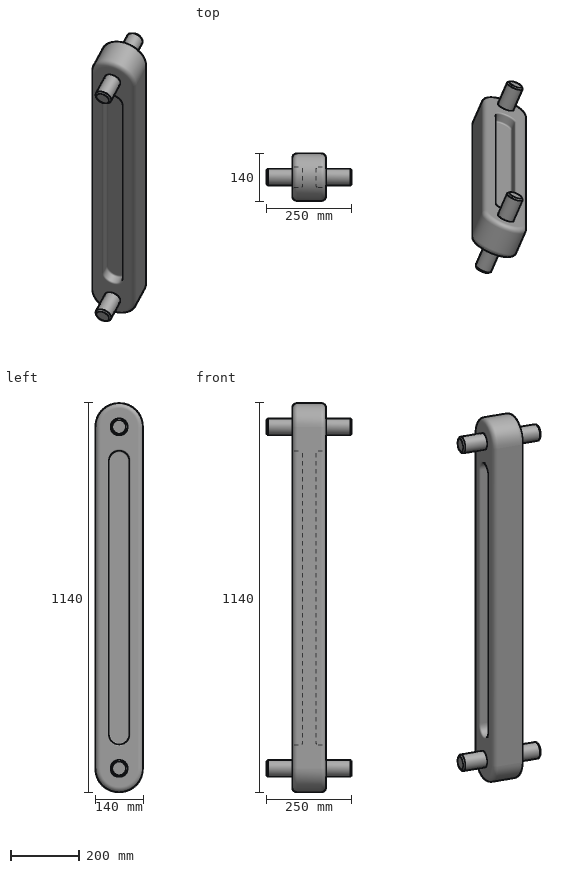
import cadquery as cq

body_length = 1140.0
body_width = 140.0
body_thickness = 100.0
body_edge_radius = 15.0

pin_diameter = 50.0
pin_length = 250.0
pin_chamfer = 5.0
pin_height = (body_length - body_width) / 2

pocket_width = 60.0
pocket_centre_distance = 800.0
pocket_length = pocket_centre_distance + pocket_width
pocket_depth = 30.0
pocket_rim_radius = 5.0
pocket_floor_radius = 5.0


def make_body():
    """Round-ended bar with every edge of its two broad faces rounded."""
    bar = (
        cq.Workplane("YZ")
        .slot2D(body_length, body_width, angle=90)
        .extrude(body_thickness / 2, both=True)
    )
    return bar.faces("<X or >X").edges().fillet(body_edge_radius)


def cut_pocket(body, side):
    """Sink a pocket into the broad face on the given side (-1 or +1 along X)."""
    face_x = side * body_thickness / 2
    cutter = (
        cq.Workplane("YZ", origin=(face_x, 0, 0))
        .slot2D(pocket_length, pocket_width, angle=90)
        .extrude(-side * pocket_depth)
    )
    floor_face = ">X" if side < 0 else "<X"
    cutter = cutter.faces(floor_face).edges().fillet(pocket_floor_radius)
    pocketed = body.cut(cutter)

    box_margin = 1.0
    rim_box = cq.selectors.BoxSelector(
        (face_x - box_margin, -pocket_width, -pocket_length / 2 - box_margin),
        (face_x + box_margin, pocket_width, pocket_length / 2 + box_margin),
        boundingbox=True,
    )
    return pocketed.edges(rim_box).fillet(pocket_rim_radius)


def make_pin(height):
    """Cross pin with chamfered ends, its axis along X at the given height."""
    pin = (
        cq.Workplane("YZ", origin=(0, 0, height))
        .circle(pin_diameter / 2)
        .extrude(pin_length / 2, both=True)
    )
    return pin.faces("<X or >X").edges().chamfer(pin_chamfer)


result = make_body()
for side in (-1, 1):
    result = cut_pocket(result, side)
for height in (-pin_height, pin_height):
    result = result.union(make_pin(height))